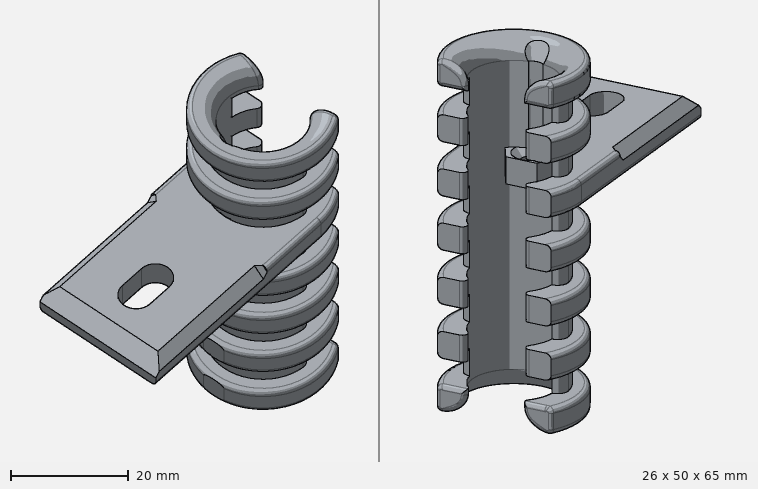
import cadquery as cq
import math

bore_radius = 8.0
tube_radius = 10.0
ring_radius = 13.0
ring_height = 5.0
ring_pitch = 10.0
ring_count = 7
column_height = (ring_count - 1) * ring_pitch + ring_height
ring_opening_y = 7.0
rim_round = 1.0
tip_round = 1.0
end_tip_round = 0.85
flare_radius = ring_radius - rim_round - bore_radius
tube_opening_y = 1.1
tube_end_round = 2.0
flat_count = 4
flat_y = -12.8

plate_index = 4
plate_bottom = plate_index * ring_pitch
plate_top = plate_bottom + ring_height
plate_end_y = -43.0
end_chamfer = 2.9
side_chamfer = 2.0
side_chamfer_start_y = -15.0
side_chamfer_tip = 1.0
slot_width = 6.2
slot_length = 11.2
slot_y = -30.5

tab_front_y = -2.7
tab_front_width = 6.0
tab_side_angle = 60.0
screw_y = -6.4
screw_diameter = 4.1
screw_depth = 4.0
countersink_diameter = 7.1
mouth_diameter = 7.4

overlap = 1.0
reach = ring_radius + overlap
arc_mid = math.sqrt(0.5)


def disc(radius, height, bottom):
    return cq.Workplane("XY").workplane(offset=bottom).circle(radius).extrude(height)


def block(x_min, x_max, y_min, y_max, z_min, z_max):
    size = (x_max - x_min, y_max - y_min, z_max - z_min)
    return cq.Workplane("XY").box(*size, centered=False).translate((x_min, y_min, z_min))


def open_at(body, opening_y):
    """Cut away everything beyond the opening plane."""
    return body.cut(block(-reach, reach, opening_y, reach, -overlap, column_height + overlap))


def round_opening_corners(body, corner_radius, opening_y, fillet_radius):
    """Round the two upright edges where a cylinder meets the opening plane."""
    x = math.sqrt(corner_radius**2 - opening_y**2)
    tolerance = 0.1
    corners = cq.selectors.BoxSelector(
        (-x - tolerance, opening_y - tolerance, -overlap),
        (-x + tolerance, opening_y + tolerance, column_height),
    ) + cq.selectors.BoxSelector(
        (x - tolerance, opening_y - tolerance, -overlap),
        (x + tolerance, opening_y + tolerance, column_height),
    )
    return body.edges("|Z").edges(corners).fillet(fillet_radius)


def bored_and_split(body):
    """Turn a rounded disc or plate into an open ring with rounded inner corners."""
    body = body.cut(disc(bore_radius, column_height, 0))
    body = open_at(body, ring_opening_y)
    return round_opening_corners(body, bore_radius, ring_opening_y, tip_round)


def ring(index):
    """Plain ring between the two end rings."""
    blank = disc(ring_radius, ring_height, index * ring_pitch)
    return bored_and_split(blank.edges("%CIRCLE").fillet(rim_round))


def top_ring():
    """End ring whose bore flares out in a quarter round up to the rim."""
    bottom = column_height - ring_height
    rim_x = ring_radius - rim_round
    flare_z = column_height - flare_radius
    profile = (
        cq.Workplane("XZ")
        .moveTo(bore_radius, bottom)
        .lineTo(rim_x, bottom)
        .threePointArc(
            (rim_x + rim_round * arc_mid, bottom + rim_round * (1 - arc_mid)),
            (ring_radius, bottom + rim_round),
        )
        .lineTo(ring_radius, column_height - rim_round)
        .threePointArc(
            (rim_x + rim_round * arc_mid, column_height - rim_round * (1 - arc_mid)),
            (rim_x, column_height),
        )
        .threePointArc(
            (rim_x - flare_radius * arc_mid, flare_z + flare_radius * arc_mid),
            (bore_radius, flare_z),
        )
        .close()
    )
    body = open_at(profile.revolve(360, (0, 0, 0), (0, 1, 0)), ring_opening_y)
    bore_corner_z = (bottom + flare_z) / 2
    corner_x = math.sqrt(bore_radius**2 - ring_opening_y**2)
    for x in (-corner_x, corner_x):
        edge = cq.selectors.NearestToPointSelector((x, ring_opening_y, bore_corner_z))
        body = body.edges("|Z").edges(edge).fillet(end_tip_round)
    return body


def tube():
    """Thin wall that joins the rings."""
    body = disc(tube_radius, column_height - 2 * flare_radius, flare_radius)
    body = body.cut(disc(bore_radius, column_height, 0))
    body = open_at(body, tube_opening_y)
    return round_opening_corners(body, tube_radius, tube_opening_y, tube_end_round)


def side_chamfer_cutter():
    """Corner strip along the +X top edge that tapers out before the ring."""

    def corner(size):
        return [
            (ring_radius - size, plate_top),
            (ring_radius, plate_top),
            (ring_radius, plate_top - size),
        ]

    strip = (
        cq.Workplane("XZ", origin=(0, side_chamfer_start_y, 0))
        .polyline(corner(side_chamfer))
        .close()
        .extrude(side_chamfer_start_y - plate_end_y)
    )
    run_out_length = side_chamfer - side_chamfer_tip
    run_out = (
        cq.Workplane("XZ", origin=(0, side_chamfer_start_y, 0))
        .polyline(corner(side_chamfer))
        .close()
        .workplane(offset=-run_out_length)
        .polyline(corner(side_chamfer_tip))
        .close()
        .loft(ruled=True)
    )
    return strip.union(run_out)


def plate():
    """Slotted plate with a round end that doubles as one of the rings."""
    outline = (
        cq.Workplane("XY", origin=(0, 0, plate_bottom))
        .moveTo(-ring_radius, plate_end_y)
        .lineTo(ring_radius, plate_end_y)
        .lineTo(ring_radius, 0)
        .threePointArc((0, ring_radius), (-ring_radius, 0))
        .close()
    )
    body = outline.extrude(ring_height)
    body = body.faces("<Z or >Z").edges("|Y or %CIRCLE").fillet(rim_round)
    body = bored_and_split(body)
    end_cutter = (
        cq.Workplane("YZ", origin=(-reach, 0, 0))
        .moveTo(plate_end_y, plate_top - end_chamfer)
        .lineTo(plate_end_y + end_chamfer, plate_top)
        .lineTo(plate_end_y, plate_top)
        .close()
        .extrude(2 * reach)
    )
    slot = (
        cq.Workplane("XY", origin=(0, slot_y, plate_bottom))
        .slot2D(slot_length, slot_width, 90)
        .extrude(ring_height)
    )
    side_cutter = side_chamfer_cutter()
    return body.cut(end_cutter).cut(slot).cut(side_cutter).cut(side_cutter.mirror("YZ"))


def screw_tab():
    """Tapered tab bridging the back of the bore."""
    back_y = -(bore_radius + tube_radius) / 2
    half_front = tab_front_width / 2
    half_back = half_front + (tab_front_y - back_y) / math.tan(math.radians(tab_side_angle))
    wedge = (
        cq.Workplane("XY", origin=(0, 0, plate_bottom))
        .polyline([
            (-half_front, tab_front_y),
            (half_front, tab_front_y),
            (half_back, back_y),
            (-half_back, back_y),
        ])
        .close()
        .extrude(ring_height)
    )
    return wedge.intersect(disc(tube_radius, ring_height, plate_bottom))


def screw_cutter():
    """Blind countersunk hole in the tab, with a screwdriver passage up to a widened mouth in the flare."""
    screw_radius = screw_diameter / 2
    sink_radius = countersink_diameter / 2
    sink_depth = sink_radius - screw_radius
    mouth_z = column_height - flare_radius
    hole_bottom = plate_top - screw_depth
    hole = disc(screw_radius, mouth_z - hole_bottom, hole_bottom)
    sink = cq.Solid.makeCone(
        screw_radius, sink_radius, sink_depth, cq.Vector(0, 0, plate_top - sink_depth)
    )
    mouth = cq.Solid.makeCone(
        screw_radius, mouth_diameter / 2, flare_radius, cq.Vector(0, 0, mouth_z)
    )
    return hole.union(cq.Workplane(sink)).union(cq.Workplane(mouth)).translate((0, screw_y, 0))


def build():
    body = tube()
    for index in range(1, ring_count - 1):
        if index != plate_index:
            body = body.union(ring(index))
    end_ring = top_ring()
    body = body.union(end_ring)
    body = body.union(end_ring.mirror("XY", (0, 0, column_height / 2)))
    for index in range(flat_count):
        bottom = index * ring_pitch
        body = body.cut(block(-reach, reach, -reach, flat_y, bottom, bottom + ring_height))
    body = body.union(plate()).union(screw_tab())
    return body.cut(screw_cutter())


result = build()